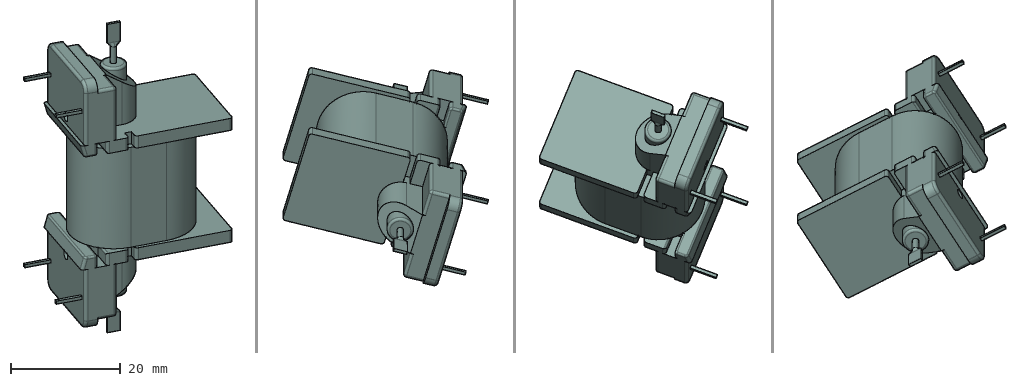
import cadquery as cq


total_height = 63.5
half_width = 9.3
back_y = 19.7
pin_tip_y = -14.4
edge_radius = 0.6

coil_radius = 8.6
coil_straight = 7.0

flange_bottom = 10.3
flange_top = 12.75
lip_top_y = -10.05
bottom_radius = 0.4

tolerance = 0.005

lead_slot_back_y = 0.6
lead_slot_front_y = -0.7
right_slot_depth = 2.0

front_slot_back_y = -5.1
bar_back_y = -6.8
front_slot_depth = 4.2

housing_back_y = -3.05
housing_front_y = -9.35
housing_top = 23.6
face_plate_top = 25.4
face_plate_corner_radius = 2.0

tower_radius = 4.1
tower_eave = 18.75

bushing_radius = 2.4
bushing_rounding = 0.5
rod_radius = 0.605
rod_top = 27.05
blade_bottom = 27.9
blade_width = 2.55
blade_thickness = 0.6

pin_size = 0.65
pin_x = 7.6
pin_z = 19.2
hole_radius = 0.9
hole_z = 14.2
hole_depth = 1.9


def block(x_range, y_range, z_range):
    """Box given by its limits along each axis."""
    limits = (x_range, y_range, z_range)
    sizes = [high - low for low, high in limits]
    return cq.Workplane("XY").box(*sizes, centered=False).translate([low for low, high in limits])


def side_profile(points, half_length):
    """Outline of (Y, Z) points extruded equally to both sides of X = 0."""
    return cq.Workplane("YZ").polyline(points).close().extrude(half_length, both=True)


def make_coil():
    """Obround winding between the flanges, rounded towards the front and the back."""
    front = cq.Workplane("XY").circle(coil_radius).extrude(flange_bottom, both=True)
    back = front.translate((0, coil_straight, 0))
    sides = (-coil_radius, coil_radius), (0, coil_straight), (-flange_bottom, flange_bottom)
    return front.union(back).union(block(*sides))


def cut_slot(plate, side, depth, front_y, rear_y):
    """Cut a slot through the plate thickness, starting at the left (-1) or right (+1) side."""
    x_range = sorted((side * half_width, side * (half_width - depth)))
    return plate.cut(block(x_range, (front_y, rear_y), (flange_bottom, flange_top)))


def slot_edge_rounding(side):
    """Strip of material outside the rounded bottom edge behind a front slot."""
    centre_y = front_slot_back_y + bottom_radius
    centre_z = flange_bottom + bottom_radius
    x_range = sorted((side * half_width, side * (half_width - front_slot_depth)))
    corner = block(x_range, (front_slot_back_y, centre_y), (flange_bottom, centre_z))
    rounding = (
        cq.Workplane("YZ")
        .center(centre_y, centre_z)
        .circle(bottom_radius)
        .extrude(half_width, both=True)
    )
    return corner.cut(rounding)


def make_flange():
    """Plate with lead slots, front slots and a front lip leaning outwards."""
    plate = side_profile(
        [
            (back_y, flange_bottom),
            (back_y, flange_top),
            (lip_top_y, flange_top),
            (housing_front_y, flange_bottom),
        ],
        half_width,
    )
    left_slot_depth = half_width - tower_radius
    for side, lead_slot_depth in ((-1, left_slot_depth), (1, right_slot_depth)):
        plate = cut_slot(plate, side, lead_slot_depth, lead_slot_front_y, lead_slot_back_y)
        plate = cut_slot(plate, side, front_slot_depth, bar_back_y, front_slot_back_y)

    thickness = flange_top - flange_bottom
    corners = plate.edges().filter(
        lambda edge: abs(abs(edge.Center().x) - half_width) < tolerance
        and edge.BoundingBox().zlen > thickness / 2
    )
    plate = corners.fillet(edge_radius)

    plate = plate.faces("<Z").edges("<Y").fillet(bottom_radius)

    for side in (-1, 1):
        plate = plate.cut(slot_edge_rounding(side))
    return plate


def make_housing():
    """Pin housing with a taller face plate at the front."""
    width = (-half_width, half_width)
    body = block(width, (bar_back_y, housing_back_y), (flange_top, housing_top))
    body = body.edges("(>Y and (>Z or |Z)) or (|Y and >Z)").fillet(edge_radius)
    face_plate = block(width, (housing_front_y, bar_back_y), (flange_top, face_plate_top))
    face_plate = face_plate.edges("|Y and >Z").fillet(face_plate_corner_radius)
    face_plate = face_plate.faces("<Y").edges("not <Z").fillet(edge_radius)
    return body.union(face_plate)


def make_tower():
    """Round-backed tower whose roof slopes from the housing top down to the back."""
    round_back = cq.Workplane("XY").circle(tower_radius).extrude(housing_top)
    front = block((-tower_radius, tower_radius), (bar_back_y, 0), (0, housing_top))
    envelope = side_profile(
        [
            (tower_radius, flange_top),
            (tower_radius, tower_eave),
            (housing_back_y, housing_top),
            (bar_back_y, housing_top),
            (bar_back_y, flange_top),
        ],
        tower_radius,
    )
    return round_back.union(front).intersect(envelope)


def make_terminal():
    """Bushing carrying a round rod that flattens into a blade."""
    base = cq.Workplane("XY").workplane(offset=flange_top)
    bushing = base.circle(bushing_radius).extrude(housing_top - flange_top)
    bushing = bushing.faces(">Z").edges().fillet(bushing_rounding)
    rod = base.circle(rod_radius).extrude(rod_top - flange_top)
    neck = (
        cq.Workplane("XY")
        .workplane(offset=rod_top)
        .circle(rod_radius)
        .workplane(offset=blade_bottom - rod_top)
        .rect(blade_thickness, blade_width)
        .loft(ruled=True)
    )
    blade = (
        cq.Workplane("XY")
        .workplane(offset=blade_bottom)
        .rect(blade_thickness, blade_width)
        .extrude(total_height / 2 - blade_bottom)
    )
    return bushing.union(rod).union(neck).union(blade)


def make_pins():
    """Two square pins standing out of the housing front."""
    return (
        cq.Workplane("XZ", origin=(0, bar_back_y, pin_z))
        .pushPoints([(-pin_x, 0), (pin_x, 0)])
        .rect(pin_size, pin_size)
        .extrude(bar_back_y - pin_tip_y)
    )


def make_end():
    """Complete upper end of the former."""
    hole = (
        cq.Workplane("XZ", origin=(0, housing_front_y, hole_z))
        .circle(hole_radius)
        .extrude(-hole_depth)
    )
    end = make_flange().union(make_housing()).union(make_tower()).cut(hole)
    return end.union(make_terminal()).union(make_pins())


upper_end = make_end()
lower_end = upper_end.mirror("XY")
result = make_coil().union(upper_end).union(lower_end)